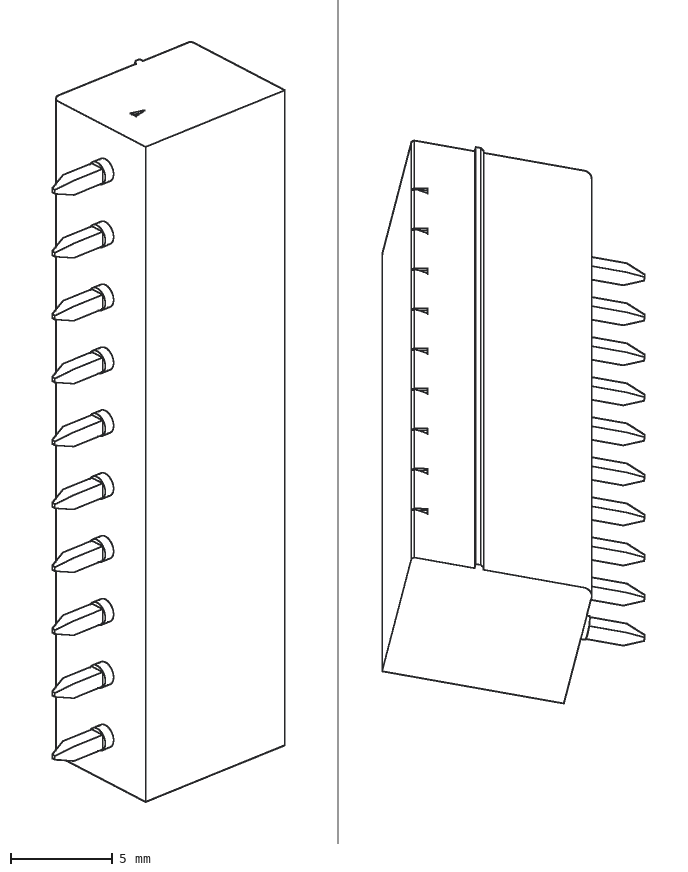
import cadquery as cq

LENGTH = 36.4
HOUSING_WIDTH = 7.0
HOUSING_DEPTH = 9.17
CORNER_RADIUS = 0.5
BACK_CHAMFER = 0.1

RIB_HEIGHT = 0.25
RIB_BACK_DISTANCE = 3.15
RIB_ROOT_WIDTH = 0.45
RIB_CREST_WIDTH = 0.25
RIB_STEP_HEIGHT = 0.1

PIN_COUNT = 10
PIN_PITCH = 3.5
FIRST_PIN_Z = 2.5
PIN_X = 4.0
PIN_SIDE = 0.8
PIN_TIP_SIDE = 0.22
PIN_LENGTH = 3.42
PIN_TAPER_LENGTH = 1.0
COLLAR_DIAMETER = 1.2
COLLAR_LENGTH = 0.55

MARK_LENGTH = 0.75
MARK_WIDTH = 0.45
MARK_DEPTH = 0.1
TOP_MARK_BASE_Y = 1.82
SIDE_MARK_BACK_GAP = 0.05


def make_housing():
    block = cq.Workplane("XY").box(HOUSING_WIDTH, HOUSING_DEPTH, LENGTH, centered=False)
    block = block.edges("|Z and <X and <Y").fillet(CORNER_RADIUS)
    return block.edges("|Z and <X and >Y").chamfer(BACK_CHAMFER)


def make_rib():
    """Rib with square flanks and a bevelled front crest edge."""
    back_y = HOUSING_DEPTH - RIB_BACK_DISTANCE
    outline = [
        (0, back_y),
        (-RIB_HEIGHT, back_y),
        (-RIB_HEIGHT, back_y - RIB_CREST_WIDTH),
        (-RIB_STEP_HEIGHT, back_y - RIB_ROOT_WIDTH),
        (0, back_y - RIB_ROOT_WIDTH),
    ]
    return cq.Workplane("XY").polyline(outline).close().extrude(LENGTH)


def make_pin(z):
    """Round collar, square shank and pyramid tip, pointing to -Y."""
    shank_length = PIN_LENGTH - PIN_TAPER_LENGTH
    face = cq.Workplane("XZ", origin=(PIN_X, 0, z))
    collar = face.circle(COLLAR_DIAMETER / 2).extrude(COLLAR_LENGTH)
    shank = face.rect(PIN_SIDE, PIN_SIDE).extrude(shank_length)
    tip = (
        face.workplane(offset=shank_length)
        .rect(PIN_SIDE, PIN_SIDE)
        .workplane(offset=PIN_TAPER_LENGTH)
        .rect(PIN_TIP_SIDE, PIN_TIP_SIDE)
        .loft(ruled=True)
    )
    return collar.union(shank).union(tip)


def mark_cutter(plane):
    """Triangle with its base centre at the plane's origin, pointing along the plane's Y."""
    outline = [(-MARK_WIDTH / 2, 0), (MARK_WIDTH / 2, 0), (0, MARK_LENGTH)]
    return cq.Workplane(plane).polyline(outline).close().extrude(-MARK_DEPTH)


def top_mark():
    return mark_cutter(cq.Plane(origin=(PIN_X, TOP_MARK_BASE_Y, LENGTH), xDir=(1, 0, 0), normal=(0, 0, 1)))


def side_mark(z):
    base_y = HOUSING_DEPTH - SIDE_MARK_BACK_GAP - MARK_LENGTH
    return mark_cutter(cq.Plane(origin=(0, base_y, z), xDir=(0, 0, 1), normal=(-1, 0, 0)))


pin_heights = [FIRST_PIN_Z + i * PIN_PITCH for i in range(PIN_COUNT)]

result = make_housing().union(make_rib())

for pin_z in pin_heights:
    result = result.union(make_pin(pin_z))

result = result.cut(top_mark())

for pin_z in pin_heights[:-1]:
    result = result.cut(side_mark(pin_z + PIN_PITCH / 2))